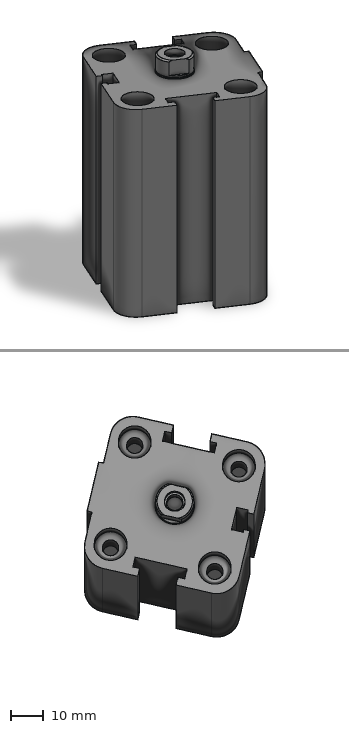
import cadquery as cq

side = 48.0
half_side = side / 2
overall_height = 75.5
rod_projection = 6.05
housing_height = overall_height - rod_projection
corner_radius = 7.0

pad_height = 1.5
pad_base_width = 15.8
pad_top_width = 15.3

side_slot_opening = 11.9
side_slot_width = 16.15
side_slot_lip = 2.5
side_slot_depth = 5.6
front_slot_opening = 5.3
front_slot_width = 7.0
front_slot_lip = 2.0
front_slot_depth = 5.5

hole_spacing = 32.5
counterbore_diameter = 10.0
counterbore_depth = 5.6
hole_diameter = 4.9
hole_depth = 15.1

rod_diameter = 11.7
collar_diameter = 12.0
collar_straight_height = 0.2
collar_height = 0.5
flats_width = 9.8
flat_start = 1.05
rod_chamfer = 0.5
bore_entry_diameter = 6.2
bore_entry_depth = 2.05
bore_diameter = 4.9


def t_slot(opening, width, lip, depth):
    """Full-height cutter for a T-slot in the -Y face."""
    neck = cq.Workplane("XY").box(opening, depth, housing_height, centered=(True, False, False))
    channel = (
        cq.Workplane("XY")
        .box(width, depth - lip, housing_height, centered=(True, False, False))
        .translate((0, lip, 0))
    )
    return neck.union(channel).translate((0, -half_side, 0))


def make_housing():
    block = (
        cq.Workplane("XY")
        .rect(side, side)
        .extrude(housing_height)
        .edges("|Z")
        .fillet(corner_radius)
    )
    pad = (
        cq.Workplane("XY")
        .polyline(
            [
                (-pad_base_width / 2, 0),
                (pad_base_width / 2, 0),
                (pad_base_width / 2, half_side),
                (pad_top_width / 2, half_side + pad_height),
                (-pad_top_width / 2, half_side + pad_height),
                (-pad_base_width / 2, half_side),
            ]
        )
        .close()
        .extrude(housing_height)
    )
    body = block.union(pad)
    body = body.cut(t_slot(front_slot_opening, front_slot_width, front_slot_lip, front_slot_depth))
    side_slot = t_slot(side_slot_opening, side_slot_width, side_slot_lip, side_slot_depth)
    for angle in (90, -90):
        body = body.cut(side_slot.rotate((0, 0, 0), (0, 0, 1), angle))
    return (
        body.faces(">Z")
        .workplane(origin=(0, 0, housing_height))
        .rect(hole_spacing, hole_spacing, forConstruction=True)
        .vertices()
        .cboreHole(hole_diameter, counterbore_diameter, counterbore_depth, hole_depth)
    )


def make_rod():
    outline = [
        (0, 0),
        (collar_diameter / 2, 0),
        (collar_diameter / 2, collar_straight_height),
        (rod_diameter / 2, collar_height),
        (rod_diameter / 2, rod_projection - rod_chamfer),
        (rod_diameter / 2 - rod_chamfer, rod_projection),
        (0, rod_projection),
    ]
    turned = (
        cq.Workplane("XZ")
        .polyline(outline)
        .close()
        .revolve(360, (0, 0), (0, 1))
        .translate((0, 0, housing_height))
    )
    flat_cutters = (
        cq.Workplane("XY", origin=(0, 0, housing_height + flat_start))
        .pushPoints([(-flats_width, 0), (flats_width, 0)])
        .rect(flats_width, 2 * rod_diameter)
        .extrude(rod_projection)
    )
    return (
        turned.cut(flat_cutters)
        .faces(">Z")
        .workplane(origin=(0, 0, overall_height))
        .cboreHole(bore_diameter, bore_entry_diameter, bore_entry_depth, rod_projection)
    )


housing = make_housing()
rod = make_rod()
result = cq.Compound.makeCompound([housing.val(), rod.val()])